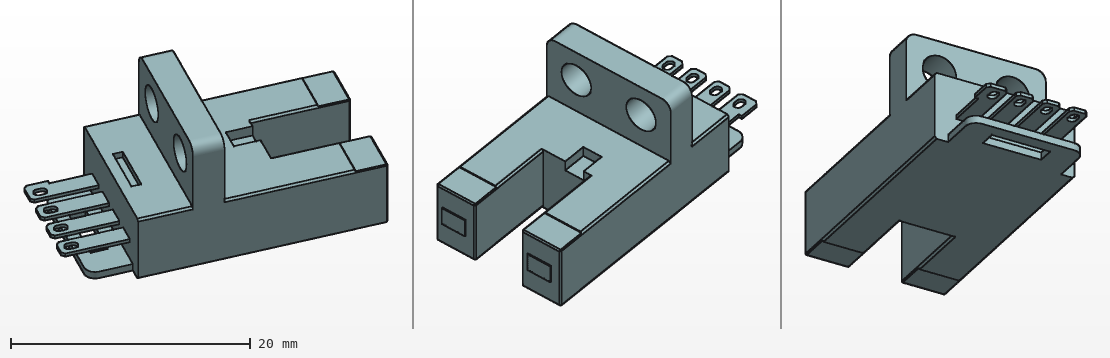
import cadquery as cq

total_length = 28.3
width = 13.4
total_height = 12.85

body_height = 6.4
edge_chamfer = 0.2
arm_width = 4.2
gap_depth = 8.97

terminal_length = 6.0
terminal_width = 1.65
terminal_pitch = 2.55
terminal_count = 4
terminal_thickness = 0.35
terminal_z = 2.63
terminal_corner = 0.28
eye_length = 1.2
eye_width = 0.8
eye_distance = 4.9
wide_end_start = 3.8
first_terminal_extra_width = 0.35

pad_width = 2.5
pad_height = 1.75
pad_thickness = 0.1
pad_offset = 0.17
pad_z = 3.23

tip_length = 2.9
tip_step = 0.1
tip_chamfer = 0.15

flange_thickness = 2.8
flange_start = 4.87
flange_radius = 1.0
hole_diameter = 3.2
hole_spacing = 7.0
hole_z = 9.82

notch_width = 1.98
notch_length = 2.38
notch_depth = 1.0
notch_x = -0.85

pocket_width = 4.58
pocket_length = 0.88
pocket_start = 1.0
pocket_depth = 0.6

tongue_width = 10.8
tongue_length = 4.0
tongue_thickness = 0.7
tongue_radius = 1.0
opening_width = 5.58
opening_length = 1.53
opening_start = 1.27

body_length = total_length - terminal_length - pad_thickness
gap_floor = body_length - gap_depth
arm_x = (width - arm_width) / 2
arm_sides = (-1, 1)


def box(x_size, y_start, y_end, z_start, z_end, x_center=0.0):
    """Box centred on x_center, spanning the given Y and Z ranges."""
    corner = (x_center - x_size / 2, y_start, z_start)
    size = (x_size, y_end - y_start, z_end - z_start)
    return cq.Workplane("XY").box(*size, centered=False).translate(corner)


def make_body():
    """Rear block and two arms, chamfered along their length."""
    shoulder = body_length - tip_length
    body = box(width, 0, gap_floor, 0, body_height).edges("|Y").chamfer(edge_chamfer)
    for side in arm_sides:
        x = side * arm_x
        arm = box(arm_width, gap_floor, shoulder, 0, body_height, x)
        arm = arm.edges("|Y").chamfer(edge_chamfer)
        tip = box(arm_width, shoulder, body_length, tip_step, body_height - tip_step, x)
        tip = tip.edges("|Y").chamfer(edge_chamfer - tip_step)
        tip = tip.faces(">Y").chamfer(tip_chamfer)
        pad_top = pad_z + pad_height / 2
        pad_y = body_length + pad_thickness
        pad = box(pad_width, body_length, pad_y, pad_top - pad_height, pad_top, x + pad_offset)
        body = body.union(arm).union(tip).union(pad)
    return body


def make_flange():
    """Upright mounting plate with rounded top corners and two screw holes."""
    flange_end = flange_start + flange_thickness
    flange = box(width, flange_start, flange_end, body_height / 2, total_height)
    flange = flange.edges("|Y and >Z").fillet(flange_radius)
    holes = (
        cq.Workplane("XZ", origin=(0, flange_end, hole_z))
        .pushPoints([(-hole_spacing / 2, 0), (hole_spacing / 2, 0)])
        .circle(hole_diameter / 2)
        .extrude(flange_thickness)
    )
    return flange.cut(holes)


def make_tongue():
    """Flat tongue level with the underside, with a rectangular opening."""
    tongue = box(tongue_width, -tongue_length, 0, 0, tongue_thickness)
    tongue = tongue.edges("|Z and <Y").fillet(tongue_radius)
    opening_end = opening_start + opening_length
    return tongue.cut(box(opening_width, -opening_end, -opening_start, 0, tongue_thickness))


def make_terminal(x, extra_width):
    """Solder terminal with an oblong eye; its outer part is wider on -X by extra_width."""
    bottom = terminal_z - terminal_thickness / 2
    top = bottom + terminal_thickness
    terminal = box(terminal_width, -wide_end_start, 0, bottom, top, x)
    end_width = terminal_width + extra_width
    end_x = x - extra_width / 2
    end = box(end_width, -terminal_length, -wide_end_start, bottom, top, end_x)
    terminal = terminal.union(end.edges("|Z and <Y").chamfer(terminal_corner))
    eye = (
        cq.Workplane("XY", origin=(x, -eye_distance, bottom))
        .slot2D(eye_length, eye_width, 90)
        .extrude(terminal_thickness)
    )
    return terminal.cut(eye)


result = make_body().union(make_flange()).union(make_tongue())
for index in range(terminal_count):
    terminal_x = (index - (terminal_count - 1) / 2) * terminal_pitch
    widening = first_terminal_extra_width if index == 0 else 0.0
    result = result.union(make_terminal(terminal_x, widening))

notch_rear = gap_floor - notch_length
result = result.cut(box(notch_width, notch_rear, gap_floor, body_height - notch_depth, body_height, notch_x))
pocket_end = pocket_start + pocket_length
result = result.cut(box(pocket_width, pocket_start, pocket_end, body_height - pocket_depth, body_height))